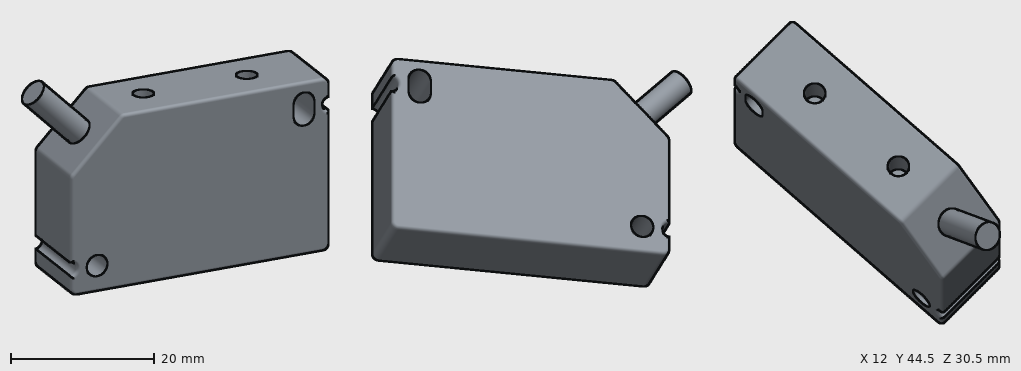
import cadquery as cq
import math

width = 12.0
length = 40.0
height = 26.0
bevel = 8.0
corner_radius = 1.0
rim_radius = 0.5

cable_diameter = 4.0
cable_length = 10.0

mount_inset = 4.0
mount_diameter = 3.2
slot_length = 5.0
groove_radius = 1.0

top_hole_diameter = 3.0
top_hole_depth = 5.0
top_hole_positions_y = (-6.0, 10.0)

front_y = -length / 2
back_y = length / 2
upper_mount_z = height - mount_inset
lower_mount_z = mount_inset


def across_width():
    """Workplane at mid-width, for shapes extruded to both side faces."""
    return cq.Workplane("YZ")


def make_housing():
    outline = [
        (front_y, 0),
        (back_y, 0),
        (back_y, height),
        (front_y + bevel, height),
        (front_y, height - bevel),
    ]
    block = across_width().polyline(outline).close().extrude(width / 2, both=True)
    block = block.edges("|X").fillet(corner_radius)

    grooves = (
        across_width()
        .pushPoints([(front_y, lower_mount_z), (back_y, upper_mount_z)])
        .circle(groove_radius)
        .extrude(width / 2, both=True)
    )
    return block.cut(grooves).faces("<X or >X").edges().fillet(rim_radius)


def make_mounting_holes():
    round_hole = (
        across_width()
        .center(front_y + mount_inset, lower_mount_z)
        .circle(mount_diameter / 2)
        .extrude(width / 2, both=True)
    )
    upright_slot = (
        across_width()
        .center(back_y - mount_inset, upper_mount_z)
        .slot2D(slot_length, mount_diameter, 90)
        .extrude(width / 2, both=True)
    )
    return round_hole.union(upright_slot)


def make_top_holes():
    return (
        cq.Workplane("XY", origin=(0, 0, height))
        .pushPoints([(0, y) for y in top_hole_positions_y])
        .circle(top_hole_diameter / 2)
        .extrude(-top_hole_depth)
    )


def make_cable():
    bevel_middle = (0, front_y + bevel / 2, height - bevel / 2)
    outward = (0, -math.sqrt(0.5), math.sqrt(0.5))
    bevel_plane = cq.Plane(origin=bevel_middle, xDir=(1, 0, 0), normal=outward)
    return cq.Workplane(bevel_plane).circle(cable_diameter / 2).extrude(cable_length)


result = make_housing().cut(make_mounting_holes()).cut(make_top_holes()).union(make_cable())